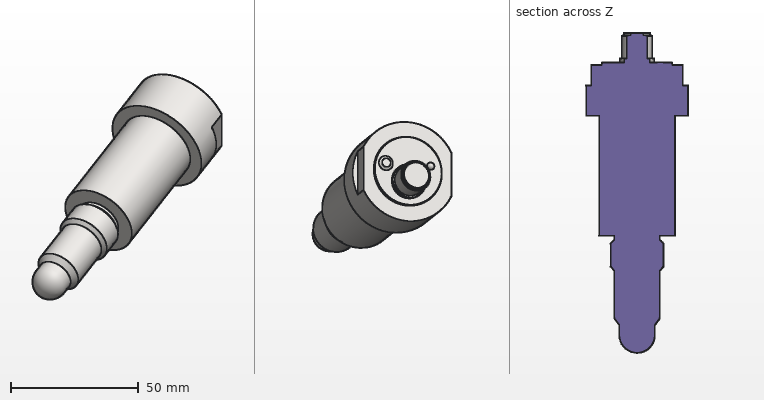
import cadquery as cq
import math

total_length = 125.5

tip_diameter = 14.0
shank_diameter = 18.0
collar_diameter = 21.0
body_diameter = 30.0
head_diameter = 40.0

cone_start = 10.9
shank_start = 13.5
collar_front = 32.3
collar_edge_front = 33.9
collar_edge_back = 42.9
collar_back = 44.4
body_start = 45.9
head_start = 93.0
head_end = 113.0

flat_spacing = 36.0
flat_length = 8.0

plate_diameter = 27.7
plate_thickness = 1.0
plate_edge_chamfer = 0.3
plate_face = head_end + plate_thickness

connector_drop = 4.4
connector_base_diameter = 13.5
connector_base_height = 1.6
connector_diameter = 12.0
connector_end_diameter = 10.3
connector_end_length = 0.9
connector_end_chamfer = 0.4

fitting_offset_x = 9.2
fitting_offset_z = 2.5
dome_diameter = 3.0
button_base_diameter = 5.8
button_top_diameter = 3.5
button_height = 0.8


def turned_pin():
    tip_radius = tip_diameter / 2
    arc_middle = tip_radius * math.sqrt(0.5)
    profile = (
        cq.Workplane("XY")
        .moveTo(0, 0)
        .threePointArc((arc_middle, tip_radius - arc_middle), (tip_radius, tip_radius))
        .lineTo(tip_radius, cone_start)
        .lineTo(shank_diameter / 2, shank_start)
        .lineTo(shank_diameter / 2, collar_front)
        .lineTo(collar_diameter / 2, collar_edge_front)
        .lineTo(collar_diameter / 2, collar_edge_back)
        .lineTo(shank_diameter / 2, collar_back)
        .lineTo(shank_diameter / 2, body_start)
        .lineTo(body_diameter / 2, body_start)
        .lineTo(body_diameter / 2, head_start)
        .lineTo(head_diameter / 2, head_start)
        .lineTo(head_diameter / 2, head_end)
        .lineTo(0, head_end)
        .close()
    )
    return profile.revolve(360, (0, 0, 0), (0, 1, 0))


def cut_wrench_flats(pin):
    cutter_depth = head_diameter / 2
    cutter_center_x = (flat_spacing + cutter_depth) / 2
    for side in (-1, 1):
        cutter = cq.Workplane("XY").box(cutter_depth, flat_length, head_diameter)
        pin = pin.cut(cutter.translate((side * cutter_center_x, head_end - flat_length / 2, 0)))
    return pin


def cylinder_along_y(diameter, y_start, y_end, x=0.0, z=0.0):
    start = cq.Vector(x, y_start, z)
    solid = cq.Solid.makeCylinder(diameter / 2, y_end - y_start, start, cq.Vector(0, 1, 0))
    return cq.Workplane(obj=solid)


def cover_plate():
    plate = cylinder_along_y(plate_diameter, head_end, plate_face)
    return plate.faces(">Y").chamfer(plate_edge_chamfer)


def connector():
    base_end = plate_face + connector_base_height
    stub_end = total_length - connector_end_length
    base = cylinder_along_y(connector_base_diameter, head_end, base_end, z=-connector_drop)
    stub = cylinder_along_y(connector_diameter, head_end, stub_end, z=-connector_drop)
    stub = stub.faces(">Y").chamfer(connector_end_chamfer)
    end = cylinder_along_y(connector_end_diameter, head_end, total_length, z=-connector_drop)
    return base.union(stub).union(end)


def indicator_dome():
    center = (-fitting_offset_x, plate_face, fitting_offset_z)
    return cq.Workplane("XY").sphere(dome_diameter / 2).translate(center)


def adjuster_button():
    base_center = cq.Vector(fitting_offset_x, plate_face, fitting_offset_z)
    base_radius = button_base_diameter / 2
    top_radius = button_top_diameter / 2
    button = cq.Solid.makeCone(base_radius, top_radius, button_height, base_center, cq.Vector(0, 1, 0))
    return cq.Workplane(obj=button)


result = cut_wrench_flats(turned_pin())
for attachment in (cover_plate(), connector(), indicator_dome(), adjuster_button()):
    result = result.union(attachment)